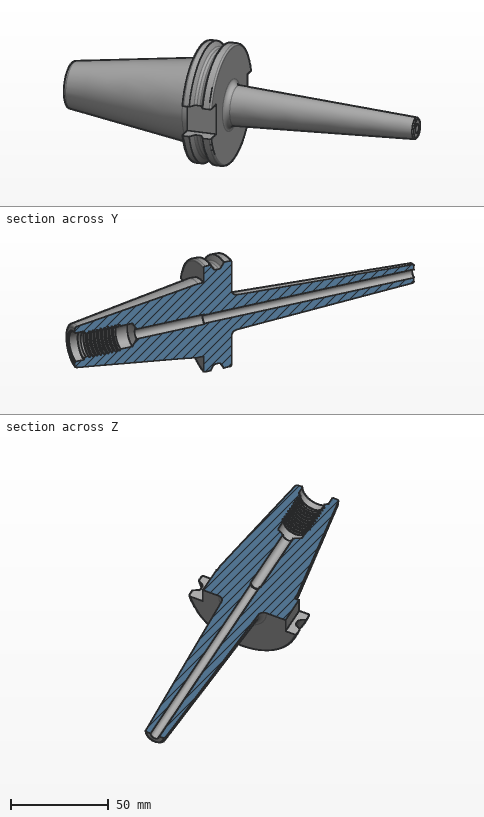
import cadquery as cq
import math

total_length = 188.2
gauge_x = 68.3
flange_start_x = 71.3
flange_end_x = 87.2
groove_center_x = 79.0

gauge_radius = 44.5 / 2
taper_ratio = 7 / 24
small_end_radius = gauge_radius - gauge_x * taper_ratio / 2
small_end_fillet = 1.7

flange_radius = 63.5 / 2
flange_edge_fillet = 1.0
groove_depth = 3.4
groove_floor_width = 3.4
groove_half_angle = math.radians(30)
groove_floor_fillet = 1.5
slot_width = 16.2
front_slot_floor = 22.5
back_slot_floor = 24.7

nose_base_radius = 10.7
nose_tip_radius = 5.6
nose_root_fillet = 3.0
nose_tip_chamfer = 0.8

mouth_radius = 16.8 / 2
mouth_chamfer = 0.5
mouth_depth = 5.0
seat_radius = 15.8 / 2
thread_radius = 13.5 / 2
thread_groove_radius = 15.8 / 2
thread_pitch = 2.0
thread_half_angle = math.radians(30)
thread_groove_count = 9
thread_end_x = 32.0
drill_point_half_angle = math.radians(59)
coolant_entry_radius = 5.6 / 2
coolant_entry_length = 37.6
coolant_radius = 4.7 / 2


def revolve_about_x(profile):
    return profile.close().revolve(360, (0, 0, 0), (1, 0, 0))


def make_taper():
    taper = revolve_about_x(
        cq.Workplane("XY")
        .lineTo(0, small_end_radius)
        .lineTo(gauge_x, gauge_radius)
        .lineTo(flange_end_x, gauge_radius)
        .lineTo(flange_end_x, 0)
    )
    return taper.faces("<X").edges().fillet(small_end_fillet)


def make_groove():
    floor_radius = flange_radius - groove_depth
    floor_half_width = groove_floor_width / 2
    top_half_width = floor_half_width + groove_depth * math.tan(groove_half_angle)
    return revolve_about_x(
        cq.Workplane("XY")
        .moveTo(groove_center_x - top_half_width, flange_radius)
        .lineTo(groove_center_x - floor_half_width, floor_radius)
        .lineTo(groove_center_x + floor_half_width, floor_radius)
        .lineTo(groove_center_x + top_half_width, flange_radius)
    )


def make_flange():
    width = flange_end_x - flange_start_x
    flange = cq.Workplane("YZ", origin=(flange_start_x, 0, 0)).circle(flange_radius).extrude(width)
    flange = flange.cut(make_groove())
    floor_edges = flange.edges("%CIRCLE").edges(cq.selectors.RadiusNthSelector(0))
    flange = floor_edges.fillet(groove_floor_fillet)
    return flange.faces("<X or >X").edges().fillet(flange_edge_fillet)


def make_slot(direction, floor_distance):
    radial_depth = flange_radius - floor_distance
    center = (
        (flange_start_x + flange_end_x) / 2,
        direction * (floor_distance + radial_depth / 2),
        0,
    )
    width = flange_end_x - flange_start_x
    return cq.Workplane("XY", origin=center).box(width, radial_depth, slot_width)


def make_nose():
    nose = revolve_about_x(
        cq.Workplane("XY")
        .moveTo(flange_end_x, 0)
        .lineTo(flange_end_x, nose_base_radius)
        .lineTo(total_length, nose_tip_radius)
        .lineTo(total_length, 0)
    )
    return nose.faces(">X").edges().chamfer(nose_tip_chamfer)


def make_bore():
    seat_end_x = mouth_depth + seat_radius - thread_radius
    point_length = (thread_radius - coolant_entry_radius) / math.tan(drill_point_half_angle)
    point_end_x = thread_end_x + point_length
    entry_end_x = point_end_x + coolant_entry_length
    profile = (
        cq.Workplane("XY")
        .lineTo(0, mouth_radius + mouth_chamfer)
        .lineTo(mouth_chamfer, mouth_radius)
        .lineTo(mouth_depth, mouth_radius)
        .lineTo(mouth_depth, seat_radius)
        .lineTo(seat_end_x, thread_radius)
    )
    half_groove = (thread_groove_radius - thread_radius) * math.tan(thread_half_angle)
    for index in range(thread_groove_count):
        groove_x = seat_end_x + (index + 1) * thread_pitch
        profile = (
            profile.lineTo(groove_x - half_groove, thread_radius)
            .lineTo(groove_x, thread_groove_radius)
            .lineTo(groove_x + half_groove, thread_radius)
        )
    return revolve_about_x(
        profile.lineTo(thread_end_x, thread_radius)
        .lineTo(point_end_x, coolant_entry_radius)
        .lineTo(entry_end_x, coolant_entry_radius)
        .lineTo(entry_end_x, coolant_radius)
        .lineTo(total_length, coolant_radius)
        .lineTo(total_length, 0)
    )


body = make_taper().union(make_flange()).union(make_nose())
nose_root = cq.selectors.BoxSelector(
    (flange_end_x - 0.2, -nose_base_radius - 0.2, -nose_base_radius - 0.2),
    (flange_end_x + 0.2, nose_base_radius + 0.2, nose_base_radius + 0.2),
    boundingbox=True,
)
body = body.edges(nose_root).fillet(nose_root_fillet)
body = body.cut(make_slot(-1, front_slot_floor)).cut(make_slot(1, back_slot_floor))
result = body.cut(make_bore())